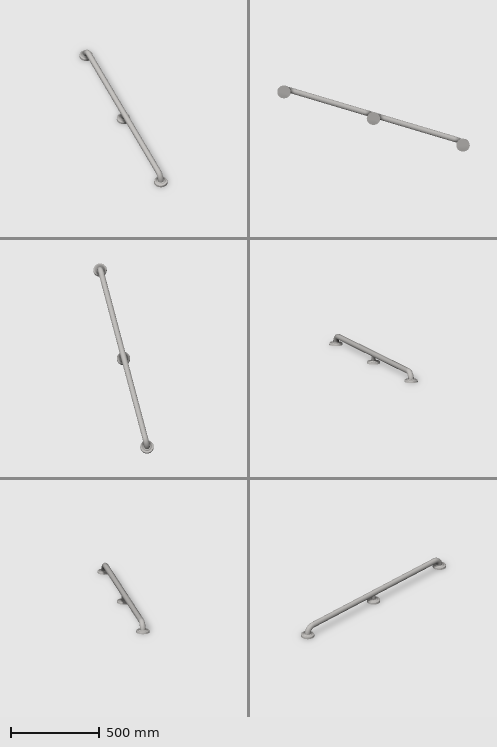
import cadquery as cq

length = 1143.0
height = 70.0

flange_diameter = 77.0
rim_shoulder_diameter = 74.0
rim_top_diameter = 71.0
rim_shoulder_height = 10.0
rim_height = 13.0
collar_base_diameter = 53.0
collar_top_diameter = 45.0
flange_height = 16.0

tube_diameter = 32.0
bend_radius = 41.0
post_diameter = 23.0

end_x = (length - flange_diameter) / 2
tube_z = height - tube_diameter / 2
bend_start_z = tube_z - bend_radius
straight_end_x = end_x - bend_radius


def make_flange(x):
    """Disc with a tapered, chamfered rim and a conical collar."""
    profile = (
        cq.Workplane("XZ")
        .moveTo(0, 0)
        .lineTo(flange_diameter / 2, 0)
        .lineTo(rim_shoulder_diameter / 2, rim_shoulder_height)
        .lineTo(rim_top_diameter / 2, rim_height)
        .lineTo(collar_base_diameter / 2, rim_height)
        .lineTo(collar_top_diameter / 2, flange_height)
        .lineTo(0, flange_height)
        .close()
    )
    return profile.revolve(360, (0, 0), (0, 1)).translate((x, 0, 0))


def make_bend(side):
    """Quarter elbow from the flange at one end up to the straight tube."""
    elbow = (
        cq.Workplane("XY", origin=(end_x, 0, bend_start_z))
        .circle(tube_diameter / 2)
        .revolve(90, (-bend_radius, 0), (-bend_radius, -1))
    )
    return elbow if side > 0 else elbow.mirror("YZ")


result = (
    cq.Workplane("YZ", origin=(-straight_end_x, 0, tube_z))
    .circle(tube_diameter / 2)
    .extrude(2 * straight_end_x)
)

for side in (-1, 1):
    result = result.union(make_bend(side))

result = result.union(cq.Workplane("XY").circle(post_diameter / 2).extrude(tube_z))

for x in (-end_x, 0, end_x):
    result = result.union(make_flange(x))